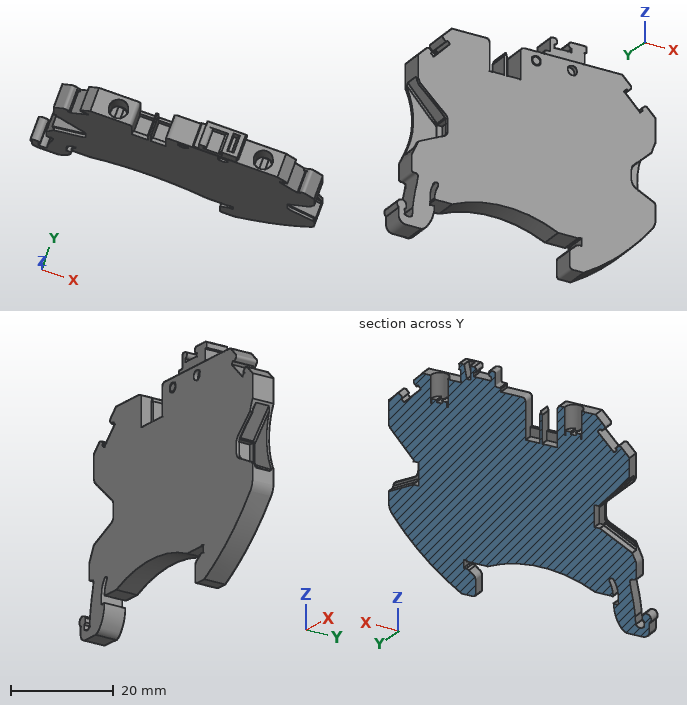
import cadquery as cq
import math

THICKNESS = 5.0
RIGHT_X = 58.85
LEFT_X = 4.85
MID_X = (LEFT_X + RIGHT_X) / 2
TOP_Z = 45.47
HEIGHT = 49.51
SHOULDER = 7.6
SHOULDER_Z = TOP_Z - SHOULDER
OVERCUT = 1.0
PICK = 0.1

WAIST_TOP_Z = 32.6
WAIST_MID_Z = 26.3
WAIST_DEPTH = 1.5
WAIST_END_Z = 19.3

RAIL_Z = 7.19
RAIL_ARCH_X = 24.6
RAIL_ARCH_R = 29.0
RAIL_ARCH_HALF = 12.05
LATCH_STEP_Y = 0.15

NOTCH_LOW_S = 3.2
NOTCH_HIGH_S = 7.5
NOTCH_DEPTH = 2.19
LIP_RADIUS = 0.55
UNDERCUT = 0.45
UNDERCUT_TOP_T = 1.35
UNDERCUT_WEB = 0.45

SLOT_X0 = 21.1
SLOT_X1 = 28.1
SLOT_FLOOR_Z = 38.44
SLOT_EDGE_R = 0.9
BLADE_X = 24.72
BLADE_W = 0.62
BLADE_TIP_Z = 43.4
BLADE_SHOULDER_Z = 42.6
BLADE_Y1 = 4.55
INNER_Y0 = 0.75
INNER_Y1 = 4.4
SLOT_WELL_DEPTH = 2.0

SCREW_X = (17.48, 47.48)
SCREW_Y = 2.3
SCREW_BORE_D = 3.8
SCREW_HEAD_D = 3.5
SCREW_HEAD_DEPTH = 5.0
SCREW_HEAD_H = 1.0
SCREW_SLOT_W = 1.15

SOCKET_Z = 43.42
SOCKET_D = 2.1
SOCKET_DEPTH = 1.0
PIN_SOCKET_X = 31.68
PIN_D = 1.7
OPEN_SOCKET_X = 39.89

PLUG_Y0 = 0.05
PLUG_GROOVE_Y1 = 4.0
PLUG_FLOOR_Z = 47.37
PLUG_POCKET_X0 = 40.55
PLUG_POCKET_X1 = 41.9
PLUG_POCKET_RAMP = 0.65
PLUG_POCKET_DEPTH = 3.0

ENTRY_Y1 = 4.4
CORE_Y0 = 0.65
CORE_CHAMFER = 0.35
WIRE_HOLE_DEPTH = 1.2
WIRE_HOLE_Y1 = 4.05
WIRE_HOLE_HEADROOM = 0.35
LEFT_ENTRY_WALLS = ((18.9, 0.465), (32.1, -0.93))
LEFT_CORE_WALLS = ((17.9, 0.5), (33.4, -1.08))
LEFT_ENTRY_DEPTH = 6.65
LEFT_ENTRY_R = 1.3
RIGHT_ENTRY_WALLS = ((19.3, 0.486), (31.02, -0.935))
RIGHT_CORE_WALLS = ((18.3, 0.5), (32.3, -1.08))
RIGHT_ENTRY_DEPTH = 5.55
RIGHT_ENTRY_R = 2.0

HOOK_R = 1.08
HOOK_Z = 4.17
LATCH_X = 0.37
LATCH_R = 1.6
HOOK_POCKET_Y1 = 4.0


def sketch(y, x, z):
    """Start a profile in the XZ plane at depth y; extrude(-d) grows it towards +Y."""
    return cq.Workplane("XZ", origin=(0, y, 0)).moveTo(x, z)


def box(x0, x1, y0, y1, z0, z1):
    return cq.Workplane("XY").box(x1 - x0, y1 - y0, z1 - z0, centered=False).translate((x0, y0, z0))


def mirrored(solid):
    """Copy of a left-hand shape on the right-hand side of the body."""
    return solid.mirror("YZ", (MID_X, 0, 0))


def body():
    arch_top = RAIL_Z - math.sqrt(RAIL_ARCH_R ** 2 - RAIL_ARCH_HALF ** 2) + RAIL_ARCH_R
    profile = (
        sketch(0, LEFT_X + SHOULDER, TOP_Z)
        .lineTo(RIGHT_X - SHOULDER, TOP_Z)
        .lineTo(RIGHT_X, SHOULDER_Z)
        .lineTo(RIGHT_X, WAIST_TOP_Z)
        .threePointArc((RIGHT_X - WAIST_DEPTH, WAIST_MID_Z), (RIGHT_X - 0.2, WAIST_END_Z))
        .lineTo(RIGHT_X, WAIST_END_Z - 0.3)
        .lineTo(RIGHT_X, 15.6)
        .threePointArc((58.6, 14.5), (58.05, 13.55))
        .threePointArc((51.2, 6.25), (42.46, 0))
        .lineTo(39.95, 0)
        .threePointArc((39.5, 0.2), (39.32, 0.65))
        .lineTo(39.32, 3.9)
        .threePointArc((39.5, 4.4), (40.0, 4.8))
        .lineTo(40.8, 5.5)
        .lineTo(41.4, 5.74)
        .lineTo(42.0, 5.74)
        .lineTo(42.0, 7.37)
        .lineTo(41.4, 7.37)
        .lineTo(41.3, RAIL_Z)
        .lineTo(RAIL_ARCH_X + RAIL_ARCH_HALF, RAIL_Z)
        .threePointArc((RAIL_ARCH_X, arch_top), (RAIL_ARCH_X - RAIL_ARCH_HALF, RAIL_Z))
        .lineTo(8.65, RAIL_Z)
        .lineTo(8.5, 7.45)
        .threePointArc((8.75, 8.9), (9.38, 10.4))
        .threePointArc((8.95, 11.0), (8.45, 10.7))
        .threePointArc((7.75, 9.3), (7.5, 7.7))
        .lineTo(7.5, 5.74)
        .lineTo(8.49, 5.74)
        .threePointArc((8.05, 3.1), (6.86, 0.95))
        .threePointArc((6.25, 0.35), (5.5, 0))
        .lineTo(LATCH_X + LATCH_R, 0)
        .radiusArc((LATCH_X, LATCH_R), LATCH_R)
        .lineTo(LATCH_X, HOOK_Z - math.sqrt(HOOK_R ** 2 - (HOOK_R - LATCH_X) ** 2))
        .threePointArc((HOOK_R, HOOK_Z + HOOK_R), (2.1, 4.5))
        .threePointArc((2.6, 4.12), (3.55, 4.12))
        .threePointArc((3.95, 7.0), (4.5, 9.7))
        .lineTo(4.74, 11.1)
        .threePointArc((4.65, 11.6), (4.2, 11.82))
        .lineTo(3.85, 11.82)
        .threePointArc((3.45, 11.98), (3.29, 12.4))
        .lineTo(3.29, 15.1)
        .threePointArc((3.36, 15.7), (3.58, 16.2))
        .lineTo(5.05, WAIST_END_Z)
        .threePointArc((LEFT_X + WAIST_DEPTH, WAIST_MID_Z), (LEFT_X, WAIST_TOP_Z))
        .lineTo(LEFT_X, SHOULDER_Z)
        .close()
    )
    return profile.extrude(-THICKNESS)


def slope_point(s, t):
    """Point on the left shoulder: s up the slope from its lower end, t into the body."""
    diagonal = math.sqrt(0.5)
    return (LEFT_X + (s + t) * diagonal, SHOULDER_Z + (s - t) * diagonal)


def label_notch():
    bulge = LIP_RADIUS * math.sqrt(0.5)
    low_round = NOTCH_LOW_S - LIP_RADIUS
    high_round = NOTCH_HIGH_S + LIP_RADIUS
    mouth = (
        sketch(0, *slope_point(low_round, -OVERCUT))
        .lineTo(*slope_point(low_round, 0))
        .threePointArc(
            slope_point(low_round + bulge, LIP_RADIUS - bulge),
            slope_point(NOTCH_LOW_S, LIP_RADIUS),
        )
        .lineTo(*slope_point(NOTCH_LOW_S, NOTCH_DEPTH))
        .lineTo(*slope_point(NOTCH_HIGH_S, NOTCH_DEPTH))
        .lineTo(*slope_point(NOTCH_HIGH_S, LIP_RADIUS))
        .threePointArc(
            slope_point(high_round - bulge, LIP_RADIUS - bulge),
            slope_point(high_round, 0),
        )
        .lineTo(*slope_point(high_round, -OVERCUT))
        .close()
        .extrude(-THICKNESS)
    )
    low_end = NOTCH_LOW_S - UNDERCUT
    high_end = NOTCH_HIGH_S + UNDERCUT
    undercut = (
        sketch(0, *slope_point(low_end, UNDERCUT_TOP_T))
        .lineTo(*slope_point(low_end, NOTCH_DEPTH))
        .lineTo(*slope_point(high_end, NOTCH_DEPTH))
        .lineTo(*slope_point(high_end, UNDERCUT_TOP_T))
        .close()
        .extrude(-(THICKNESS - UNDERCUT_WEB))
    )
    return mouth.union(undercut)


def test_slot():
    slot = box(SLOT_X0, SLOT_X1, 0, THICKNESS, SLOT_FLOOR_Z, TOP_Z)
    well_z = SLOT_FLOOR_Z - SLOT_WELL_DEPTH
    return slot.union(box(SLOT_X0, SLOT_X1, INNER_Y0, INNER_Y1, well_z, TOP_Z))


def round_slot_edges(part):
    """Fillet the two top corners of the test slot."""
    for x in (SLOT_X0, SLOT_X1):
        corner = cq.selectors.BoxSelector(
            (x - PICK, -PICK, TOP_Z - PICK),
            (x + PICK, THICKNESS + PICK, TOP_Z + PICK),
        )
        part = part.edges("|Y").edges(corner).fillet(SLOT_EDGE_R)
    return part


def blade():
    half = BLADE_W / 2
    return (
        sketch(0, BLADE_X - half, SLOT_FLOOR_Z - SLOT_WELL_DEPTH)
        .lineTo(BLADE_X - half, BLADE_SHOULDER_Z)
        .lineTo(BLADE_X, BLADE_TIP_Z)
        .lineTo(BLADE_X + half, BLADE_SHOULDER_Z)
        .lineTo(BLADE_X + half, SLOT_FLOOR_Z - SLOT_WELL_DEPTH)
        .close()
        .extrude(-BLADE_Y1)
    )


def screw_hole(x):
    head_z = TOP_Z - SCREW_HEAD_DEPTH
    seat_z = head_z - SCREW_HEAD_H
    bore = cq.Workplane("XY", origin=(x, SCREW_Y, seat_z)).circle(SCREW_BORE_D / 2).extrude(TOP_Z - seat_z)
    head = cq.Workplane("XY", origin=(x, SCREW_Y, seat_z)).circle(SCREW_HEAD_D / 2).extrude(SCREW_HEAD_H)
    half = SCREW_SLOT_W / 2
    reach = SCREW_HEAD_D / 2
    drive = box(x - half, x + half, SCREW_Y - reach, SCREW_Y + reach, seat_z + SCREW_HEAD_H / 2, head_z)
    return bore.cut(head.cut(drive))


def socket(x):
    return sketch(0, x, SOCKET_Z).circle(SOCKET_D / 2).extrude(-SOCKET_DEPTH)


def socket_pin(x):
    return sketch(0, x, SOCKET_Z).circle(PIN_D / 2).extrude(-SOCKET_DEPTH)


def plug():
    block = (
        sketch(PLUG_Y0, 33.64, TOP_Z)
        .lineTo(33.64, 46.1)
        .lineTo(33.85, 46.3)
        .lineTo(34.6, 46.3)
        .threePointArc((34.83, 46.4), (34.92, 46.65))
        .lineTo(34.92, 49.1)
        .threePointArc((35.05, 49.4), (35.35, HEIGHT))
        .lineTo(42.9, HEIGHT)
        .lineTo(43.13, 49.3)
        .lineTo(43.13, 48.15)
        .lineTo(42.73, 48.0)
        .lineTo(42.73, 45.75)
        .lineTo(42.55, TOP_Z)
        .close()
        .extrude(PLUG_Y0 - THICKNESS)
    )
    groove = (
        sketch(0, 35.75, HEIGHT)
        .threePointArc((36.5, 48.75), (35.88, 48.1))
        .lineTo(35.88, PLUG_FLOOR_Z)
        .lineTo(39.74, PLUG_FLOOR_Z)
        .lineTo(39.74, 48.1)
        .threePointArc((39.11, 48.75), (40.05, HEIGHT))
        .lineTo(40.05, HEIGHT + OVERCUT)
        .lineTo(35.75, HEIGHT + OVERCUT)
        .close()
        .extrude(-PLUG_GROOVE_Y1)
    )
    pocket = (
        sketch(INNER_Y0, PLUG_POCKET_X0, HEIGHT)
        .lineTo(PLUG_POCKET_X1, HEIGHT)
        .lineTo(PLUG_POCKET_X1 - PLUG_POCKET_RAMP, HEIGHT - PLUG_POCKET_DEPTH)
        .lineTo(PLUG_POCKET_X0, HEIGHT - PLUG_POCKET_DEPTH)
        .close()
        .extrude(INNER_Y0 - INNER_Y1)
    )
    return block.cut(groove).cut(pocket)


def funnel(y0, y1, walls, floor_x):
    """Wedge from outside the left edge to an upright floor at floor_x.

    walls holds the lower and the upper wall, each as (height at LEFT_X, rise per mm of X).
    """
    mouth_x = LEFT_X - 2 * OVERCUT
    (low_z, low_rise), (high_z, high_rise) = walls
    mouth_run = mouth_x - LEFT_X
    floor_run = floor_x - LEFT_X
    return (
        sketch(y0, mouth_x, low_z + low_rise * mouth_run)
        .lineTo(floor_x, low_z + low_rise * floor_run)
        .lineTo(floor_x, high_z + high_rise * floor_run)
        .lineTo(mouth_x, high_z + high_rise * mouth_run)
        .close()
        .extrude(y0 - y1)
    )


def wire_entry(walls, core_walls, depth, corner_r):
    """Side window with a filleted inner end, a wider core and a wire hole in its floor."""
    floor_x = LEFT_X + depth
    window = funnel(0, ENTRY_Y1, walls, floor_x)
    window = window.faces(">X").edges("|Y").fillet(corner_r)
    core = funnel(CORE_Y0, ENTRY_Y1, core_walls, floor_x)
    core = core.faces("<Z or >Z").edges("not |Y").chamfer(CORE_CHAMFER)
    (low_z, low_rise), (high_z, high_rise) = core_walls
    hole_z0 = low_z + low_rise * depth
    hole_z1 = high_z + high_rise * depth - WIRE_HOLE_HEADROOM
    hole = box(floor_x, floor_x + WIRE_HOLE_DEPTH, CORE_Y0, WIRE_HOLE_Y1, hole_z0, hole_z1)
    return window.union(core).union(hole)


def hook_pocket():
    return (
        sketch(0, 2.06, 4.6)
        .lineTo(2.06, 3.68)
        .lineTo(1.68, 3.24)
        .lineTo(1.68, 2.3)
        .threePointArc((2.5, 1.9), (3.47, 2.4))
        .lineTo(3.57, 4.6)
        .close()
        .extrude(-HOOK_POCKET_Y1)
    )


def build():
    part = body()
    part = part.cut(box(-OVERCUT, LEFT_X, THICKNESS - LATCH_STEP_Y, THICKNESS + OVERCUT, 0, SHOULDER_Z))
    part = part.cut(hook_pocket())
    notch = label_notch()
    part = part.cut(notch).cut(mirrored(notch))
    left_entry = wire_entry(LEFT_ENTRY_WALLS, LEFT_CORE_WALLS, LEFT_ENTRY_DEPTH, LEFT_ENTRY_R)
    right_entry = wire_entry(RIGHT_ENTRY_WALLS, RIGHT_CORE_WALLS, RIGHT_ENTRY_DEPTH, RIGHT_ENTRY_R)
    part = part.cut(left_entry).cut(mirrored(right_entry))
    part = part.cut(test_slot())
    part = round_slot_edges(part)
    part = part.union(blade()).union(plug())
    for x in SCREW_X:
        part = part.cut(screw_hole(x))
    part = part.cut(socket(PIN_SOCKET_X)).cut(socket(OPEN_SOCKET_X))
    return part.union(socket_pin(PIN_SOCKET_X))


result = build()